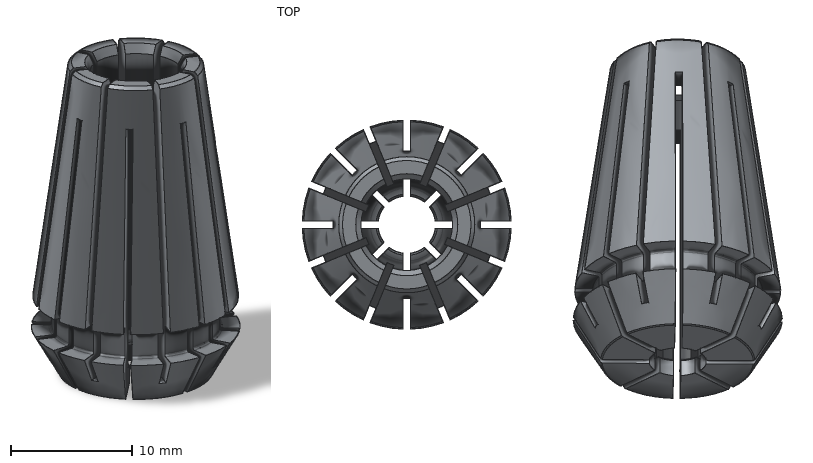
import cadquery as cq
import math

total_height = 27.5
cone_half_angle = 8.0
flange_half_angle = 30.0

flange_top = 4.0
groove_top = 6.68

flange_radius = 17.25 / 2
cone_base_radius = 8.5
groove_radius = 6.95
groove_fillet = 0.2
rim_chamfer = 0.28
base_chamfer = 0.08

cavity_radius = 3.77
cavity_floor = 1.57
cavity_fillet = 0.77
mouth_chamfer_width = 0.45
mouth_chamfer_depth = 0.77
bore_radius = 2.36
bore_chamfer = 0.16

slots_per_set = 8
slot_width = 0.6
lower_slot_top = 23.95
upper_slot_bottom = 1.75

slot_pitch = 360.0 / slots_per_set
cone_height = total_height - groove_top
cone_top_radius = cone_base_radius - cone_height * math.tan(math.radians(cone_half_angle))
flange_base_radius = flange_radius - flange_top * math.tan(math.radians(flange_half_angle))


def outer_body():
    """Revolved outside: base flange, groove and long taper."""
    body = (
        cq.Workplane("XZ")
        .moveTo(0, 0)
        .lineTo(flange_base_radius, 0)
        .lineTo(flange_radius, flange_top)
        .lineTo(groove_radius + groove_fillet, flange_top)
        .radiusArc((groove_radius, flange_top + groove_fillet), groove_fillet)
        .lineTo(groove_radius, groove_top - groove_fillet)
        .radiusArc((groove_radius + groove_fillet, groove_top), groove_fillet)
        .lineTo(cone_base_radius, groove_top)
        .lineTo(cone_top_radius, total_height)
        .lineTo(0, total_height)
        .close()
        .revolve(360, (0, 0, 0), (0, 1, 0))
    )
    body = body.faces(">Z").edges().chamfer(rim_chamfer)
    return body.faces("<Z").edges().chamfer(base_chamfer)


def cavity():
    """Round cavity with a filleted floor, a chamfered mouth and a chamfered bore."""
    fillet_start = cavity_radius - cavity_fillet
    return (
        cq.Workplane("XZ")
        .moveTo(0, 0)
        .lineTo(bore_radius, 0)
        .lineTo(bore_radius, cavity_floor - bore_chamfer)
        .lineTo(bore_radius + bore_chamfer, cavity_floor)
        .lineTo(fillet_start, cavity_floor)
        .radiusArc((cavity_radius, cavity_floor + cavity_fillet), -cavity_fillet)
        .lineTo(cavity_radius, total_height - mouth_chamfer_depth)
        .lineTo(cavity_radius + mouth_chamfer_width, total_height)
        .lineTo(0, total_height)
        .close()
        .revolve(360, (0, 0, 0), (0, 1, 0))
    )


def slot_set(bottom, top, first_angle):
    """Evenly spaced radial blades, each crossing the whole diameter."""
    blade = (
        cq.Workplane("XY", origin=(0, 0, bottom))
        .rect(2 * (flange_radius + slot_width), slot_width)
        .extrude(top - bottom)
    )
    blades = cq.Workplane("XY")
    for index in range(slots_per_set // 2):
        angle = first_angle + index * slot_pitch
        blades = blades.union(blade.rotate((0, 0, 0), (0, 0, 1), angle))
    return blades


lower_slots = slot_set(0, lower_slot_top, 0)
upper_slots = slot_set(upper_slot_bottom, total_height, slot_pitch / 2)
result = outer_body().cut(cavity()).cut(lower_slots).cut(upper_slots)